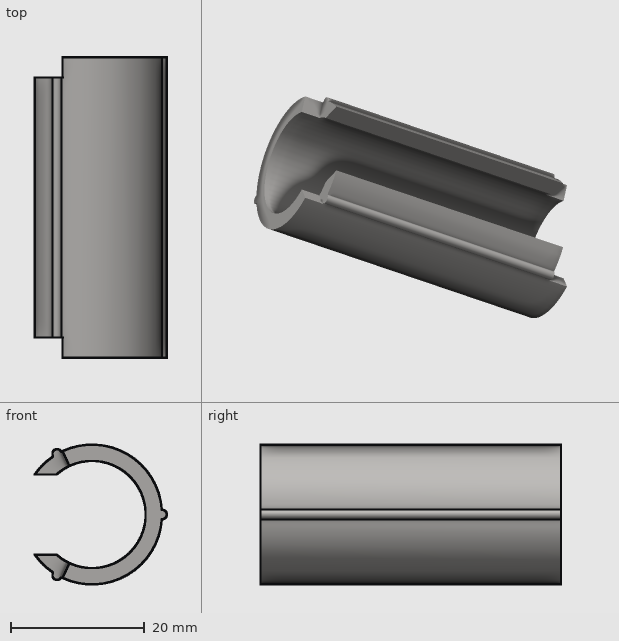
import cadquery as cq
import math

length = 45.0
outer_radius = 10.5
inner_radius = 8.0
opening_half_height = 6.0
ridge_radius = 0.7
ridge_angles = (0, 120, 240)

lip_setback = 3.0
lip_start_angle = 115


def cylinder(radius, x=0.0, z=0.0):
    """Full-length cylinder along Y, centred on Y = 0."""
    return cq.Workplane("XZ").center(x, z).circle(radius).extrude(length / 2, both=True)


def make_sleeve():
    sleeve = cylinder(outer_radius)
    for angle in ridge_angles:
        radians = math.radians(angle)
        ridge_x = outer_radius * math.cos(radians)
        ridge_z = outer_radius * math.sin(radians)
        sleeve = sleeve.union(cylinder(ridge_radius, ridge_x, ridge_z))
    return sleeve.cut(cylinder(inner_radius))


def make_opening():
    """Slot with flat sides that splits the tube along its -X side."""
    reach = 2 * outer_radius
    slot = cq.Workplane("XY").box(reach, length, 2 * opening_half_height)
    return slot.translate((-reach / 2, 0, 0))


def make_end_notch(side):
    """Wedge with radial flanks that removes the lips at one end; side is -1 or 1."""
    reach = 2 * outer_radius
    flank_x = reach * math.cos(math.radians(lip_start_angle))
    flank_z = reach * math.sin(math.radians(lip_start_angle))
    outline = [(0, 0), (flank_x, flank_z), (-reach, flank_z), (-reach, -flank_z), (flank_x, -flank_z)]
    wedge = cq.Workplane("XZ").polyline(outline).close().extrude(lip_setback / 2, both=True)
    return wedge.translate((0, side * (length - lip_setback) / 2, 0))


result = make_sleeve().cut(make_opening())
for end_side in (-1, 1):
    result = result.cut(make_end_notch(end_side))